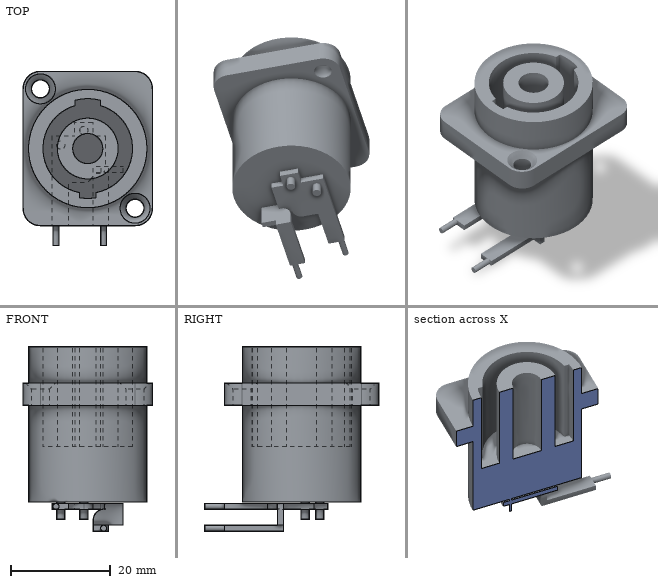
import cadquery as cq

barrel_diameter = 23.8
barrel_height = 31.25
flange_width = 26.0
flange_length = 31.02
flange_thickness = 4.5
flange_corner_radius = 3.5
flange_setback = 7.35
flange_bottom = barrel_height - flange_setback - flange_thickness

mount_x = 9.5
mount_y = 12.0
mount_diameter = 3.55
countersink_diameter = 6.0
countersink_angle = 90

socket_diameter = 18.0
core_diameter = 12.2
core_bore_diameter = 6.05
socket_depth = 20.05
keyway_diameter = 20.05
wide_keyway = 5.2
narrow_keyway = 3.35

sheet = 1.22
contact_gap = 0.25
contact_bottom = -contact_gap - sheet
contact_front = -15.47
lead_tip = -19.5

leg_left = -7.15
leg_width = 3.35
leg_right = leg_left + leg_width
leg_back = 2.5
branch_back = 5.27
branch_right = 1.08
branch_round = 1.85
branch_left = branch_right - 2 * branch_round
tab_right = 3.53
tab_round = 0.95
tab_front = -4.97
upper_lead_x = -6.4

rivet_diameter = 1.67
rivet_bottom = -3.45
rivet_places = [(-5.4, 0.7), (branch_right - branch_round, 3.65)]

hanger_right = 7.13
hanger_back = -3.65
hanger_round = 2.3
strip_left = branch_right
strip_width = 3.08
strip_bottom = barrel_height - 37.1
strip_top = strip_bottom + sheet
lower_lead_x = 3.2


def cylinder(diameter, bottom, top):
    return cq.Workplane("XY").workplane(offset=bottom).circle(diameter / 2).extrude(top - bottom)


def make_housing():
    flange = (
        cq.Workplane("XY")
        .workplane(offset=flange_bottom)
        .rect(flange_width, flange_length)
        .extrude(flange_thickness)
        .edges("|Z")
        .fillet(flange_corner_radius)
        .faces(">Z")
        .workplane(origin=(0, 0, 0))
        .pushPoints([(-mount_x, mount_y), (mount_x, -mount_y)])
        .cskHole(mount_diameter, countersink_diameter, countersink_angle)
    )
    return flange.union(cylinder(barrel_diameter, 0, barrel_height))


def make_keyway(width, side, floor):
    """Slot ending on a common arc; side is +1 toward +Y or -1 toward -Y."""
    reach = keyway_diameter / 2
    slot = (
        cq.Workplane("XY")
        .workplane(offset=floor)
        .center(0, side * reach / 2)
        .rect(width, reach)
        .extrude(socket_depth)
    )
    return slot.intersect(cylinder(keyway_diameter, floor, barrel_height))


def make_socket():
    floor = barrel_height - socket_depth
    socket = cylinder(socket_diameter, floor, barrel_height)
    socket = socket.union(make_keyway(wide_keyway, 1, floor))
    socket = socket.union(make_keyway(narrow_keyway, -1, floor))
    core = cylinder(core_diameter, floor, barrel_height)
    bore = cylinder(core_bore_diameter, floor, barrel_height)
    return socket.cut(core).union(bore)


def make_lead(x, sheet_bottom):
    return (
        cq.Workplane("XZ", origin=(x, contact_front, sheet_bottom + sheet / 2))
        .circle(sheet / 2)
        .extrude(contact_front - lead_tip)
    )


def make_upper_contact():
    branch_front = tab_front - branch_round
    contact = (
        cq.Workplane("XY")
        .workplane(offset=contact_bottom)
        .moveTo(leg_left, contact_front)
        .lineTo(leg_right, contact_front)
        .lineTo(leg_right, branch_front)
        .lineTo(branch_right - branch_round, branch_front)
        .tangentArcPoint((branch_right, tab_front), relative=False)
        .lineTo(tab_right - tab_round, tab_front)
        .tangentArcPoint((tab_right, tab_front + tab_round), relative=False)
        .lineTo(tab_right, leg_back)
        .lineTo(branch_right, leg_back)
        .lineTo(branch_right, branch_back)
        .lineTo(branch_left, branch_back)
        .lineTo(branch_left, leg_back)
        .lineTo(leg_left, leg_back)
        .close()
        .extrude(sheet)
    )
    rivet = cylinder(rivet_diameter, rivet_bottom, 0)
    for x, y in rivet_places:
        contact = contact.union(rivet.translate((x, y, 0)))
    return contact.union(make_lead(upper_lead_x, contact_bottom))


def make_lower_contact():
    neck_left = strip_left + hanger_round
    shoulder = contact_bottom + contact_gap / 2
    hanger = (
        cq.Workplane("XZ", origin=(0, hanger_back, 0))
        .moveTo(strip_left, strip_top)
        .lineTo(strip_left, shoulder - hanger_round)
        .tangentArcPoint((neck_left, shoulder), relative=False)
        .lineTo(neck_left, -contact_gap)
        .lineTo(hanger_right, -contact_gap)
        .lineTo(hanger_right, strip_top)
        .close()
        .extrude(sheet)
    )
    strip = cq.Workplane("XY").box(
        strip_width, hanger_back - contact_front, sheet, centered=False
    )
    strip = strip.translate((strip_left, contact_front, strip_bottom))
    return hanger.union(strip).union(make_lead(lower_lead_x, strip_bottom))


result = make_housing().cut(make_socket()).union(make_upper_contact()).union(make_lower_contact())